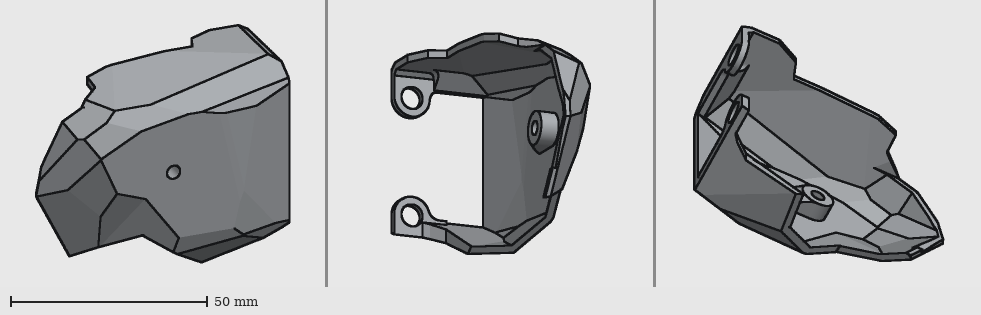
import cadquery as cq
import math

WIDTH = 32.0
LENGTH = 67.3
TOP_Z = 53.9
WALL = 2.0
INNER_X = WIDTH - WALL
REACH = 201.9
SHELL_CENTER = cq.Vector(16.8, -26.9, 30.3)

FLANGE = 1.95
EAR_X = 4.9
EAR_RADIUS = 4.9
EAR_HOLE_RADIUS = 2.9
EAR_FILLET = 3.0
UPPER_EAR_Z = 45.2
LOWER_EAR_Z = 14.3
OPENING_TOP = 47.85
OPENING_BOTTOM = 13.7
LOWER_EAR_BLOCK_X = 7.75
LOWER_FLANGE_X = 14.5

GUSSET_X = 11.0
GUSSET_DEPTH = 6.6
GUSSET_TOP = 52.0
GUSSET_FILLET = 1.9
CEILING_Z = TOP_Z - WALL
FLANGE_BEVEL = 1.3

BOSS_Y = -34.0
BOSS_Z = 31.5
BOSS_RADIUS = 4.4
BOSS_HOLE_RADIUS = 1.8
BOSS_HEIGHT = 4.8
BOSS_FLARE_ANGLE = 45

TIP_X = 19.5
FLOOR_EDGE_X = 12.1
FLOOR_FRONT_Y = -21.3
NOSE_BOTTOM = 6.85
NOSE_Y = -53.85

BROW_FRONT = (26.7, -47.85, 48.8)
BROW_SIDE = (WIDTH, -42.95, 44.4)
BROW_CORNER = (28.35, -50.55, 46.5)
CHEEK_CORNER = (28.3, -57.15, 43.15)
NOSE_BRIDGE = (19.5, -59.5, 44.9)
NOSE_SIDE = (26.6, -61.0, 29.0)
NOSE_TIP = (20.85, -LENGTH, 25.9)
NOSE_CREST = (20.85, -66.4, 30.6)
NOSE_HEEL = (19.4, -57.5, 7.0)
JAW_FRONT = (25.0, -52.1, 10.8)
JAW_REAR = (WIDTH, -49.6, 28.2)
CREASE_TOP = (WIDTH, -41.7, 25.4)

OUTER_FACETS = {
    "roof": [(0, 0, TOP_Z), (6.7, 0, TOP_Z), (0, -6.7, TOP_Z)],
    "side": [(WIDTH, 0, 0), (WIDTH, -6.7, 0), (WIDTH, 0, 6.7)],
    "back chamfer": [(0, 0, 52.45), (6.7, 0, 52.45), (0, -2.6, TOP_Z)],
    "roof front": [(7.6, -26.25, TOP_Z), (19.65, -2.6, TOP_Z), (26.65, -47.9, 48.8)],
    "brow": [(7.6, -40.4, 52.7), (26.65, -47.9, 48.8), (9.4, -48.25, 51.15)],
    "shoulder": [(19.65, -2.6, TOP_Z), (27.8, -38.45, 49.4), (WIDTH, -29.95, 47.0)],
    "shoulder front": [(WIDTH, -29.95, 47.0), BROW_SIDE, BROW_CORNER],
    "cheek upper": [BROW_SIDE, BROW_CORNER, CHEEK_CORNER],
    "forehead": [BROW_FRONT, CHEEK_CORNER, NOSE_BRIDGE],
    "nose upper": [NOSE_BRIDGE, (26.9, -58.5, 42.9), NOSE_CREST],
    "nose side": [CHEEK_CORNER, NOSE_SIDE, NOSE_TIP],
    "nose lower": [NOSE_TIP, NOSE_SIDE, JAW_FRONT],
    "cheek lower": [(WIDTH, -54.1, 38.45), JAW_REAR, NOSE_SIDE],
    "rear side": [(27.45, 0, 0), (27.45, 0, 6.7), (WIDTH, -14.8, 0)],
    "rear blend": [(30.7, -10.65, 44.95), (31.9, -14.8, 23.55), (31.85, -19.05, 44.8)],
    "rear strip": [(WIDTH, -21.15, 45.15), (WIDTH, -15.7, 20.6), (31.85, -19.05, 44.8)],
}
INNER_FACETS = {
    "rear shoulder": [(INNER_X, -23.3, 45.7), (INNER_X, -21.15, 45.15), (28.6, -10.65, 44.95)],
    "rear lower": [(INNER_X, -15.7, 20.6), (INNER_X, -17.8, 11.6), (26.85, -4.85, 11.4)],
    "rear corner": [(26.85, -4.85, 11.4), (27.05, -9.35, 9.1), (29.1, -14.2, 10.9)],
    "floor bevel": [(INNER_X, -17.8, 11.6), (INNER_X, -30.15, 10.6), (25.3, -14.2, 6.45)],
    "floor corner": [(12.1, -23.3, 1.5), (25.3, -14.15, 6.45), (22.5, -24.6, 2.55)],
}
FLOOR_OUTER = [(0, 0, 9.55), (6.7, 0, 9.55), (0, FLOOR_FRONT_Y, 0)]
FLOOR_INNER = [(0, 0, OPENING_BOTTOM), (6.7, 0, OPENING_BOTTOM), (0, -23.3, 1.6)]
LOWER_FLAT = [(WIDTH, 0, 12.9), (WIDTH, -6.7, 12.9), (30.4, 0, 8.1)]
CREASE_LOWER = [CREASE_TOP, JAW_FRONT, (WIDTH, -30.55, 10.2)]
CREASE_UPPER = [CREASE_TOP, JAW_REAR, (28.7, -53.2, 20.7)]
NOTCH_PEAK_Y = -41.2
NOTCH_PEAK_Z = 13.85
JAW_INNER = (22.6, -50.95, 10.1)
NOTCH_FACETS = [
    [JAW_FRONT, JAW_INNER, (29.15, NOTCH_PEAK_Y, 14.1)],
    [JAW_FRONT, JAW_INNER, NOSE_HEEL],
]
NOSE_BLUNT = (19.7, -66.9, 25.9)
TIP_FACETS = [
    [NOSE_TIP, NOSE_CREST, NOSE_BLUNT],
    [NOSE_TIP, NOSE_HEEL, NOSE_BLUNT],
]


def beyond(points, shift=0.0):
    """Block filling the space beyond the facet, moved outward by shift."""
    a, b, c = [cq.Vector(*p) for p in points]
    normal = (b - a).cross(c - a).normalized()
    if normal.dot(SHELL_CENTER - a) > 0:
        normal = normal * -1
    plane = cq.Plane(origin=(a + normal * shift).toTuple(), normal=normal.toTuple())
    return cq.Workplane(plane).rect(2 * REACH, 2 * REACH).extrude(REACH)


def faceted_body(start, floor, outer_shift):
    """Trim a block with every facet; outer_shift is 0 outside and -WALL inside."""
    body = start.cut(beyond(floor))
    for points in OUTER_FACETS.values():
        body = body.cut(beyond(points, outer_shift))
    for points in INNER_FACETS.values():
        body = body.cut(beyond(points, outer_shift + WALL))
    crease = beyond(CREASE_LOWER, outer_shift).intersect(beyond(CREASE_UPPER, outer_shift))
    return body.cut(crease)


def block(x0, x1, y0, y1, z0, z1):
    """Box between two opposite corners."""
    return cq.Workplane("XY", origin=(x0, y0, z0)).box(x1 - x0, y1 - y0, z1 - z0, centered=False)


def ear(z, edge_z, inward):
    """Round ear on the flange with a fillet where it meets the flange edge."""
    far = edge_z - inward * 2 * EAR_RADIUS
    center_distance = EAR_RADIUS + EAR_FILLET
    fillet_z = edge_z + inward * EAR_FILLET
    fillet_x = EAR_X + math.sqrt(center_distance ** 2 - (fillet_z - z) ** 2)
    tangent_x = EAR_X + (fillet_x - EAR_X) * EAR_RADIUS / center_distance
    tangent_z = z + (fillet_z - z) * EAR_RADIUS / center_distance
    return (
        cq.Workplane("XZ").moveTo(0, far).lineTo(0, z)
        .threePointArc((EAR_X, z + inward * EAR_RADIUS), (tangent_x, tangent_z))
        .radiusArc((fillet_x, edge_z), -inward * EAR_FILLET)
        .lineTo(fillet_x, far).close().extrude(FLANGE)
    )


outer = faceted_body(block(0, REACH, -REACH, 0, -REACH, REACH), FLOOR_OUTER, 0.0)
outer = outer.cut(beyond(LOWER_FLAT))
cavity = faceted_body(block(-REACH, REACH, -REACH, REACH, -REACH, REACH), FLOOR_INNER, -WALL)
shell = outer.cut(cavity)

opening_floor = cq.Workplane("XY", origin=(0, 0, OPENING_BOTTOM))

roof_edge = [(0, -10.65), (3.0, -16.8), (7.6, -18.45), (7.6, -42.5), (9.2, -48.25),
             (14.4, -48.25), (TIP_X, -54.3), (TIP_X, -LENGTH), (0, -LENGTH)]
shell = shell.cut(opening_floor.polyline(roof_edge).close().extrude(REACH))

floor_edge = [(0, -FLANGE), (LOWER_EAR_BLOCK_X, -FLANGE), (9.35, -3.3), (FLOOR_EDGE_X, -7.15),
              (FLOOR_EDGE_X, -LENGTH), (0, -LENGTH)]
shell = shell.cut(opening_floor.polyline(floor_edge).close().extrude(-REACH))

rear_notch = [(FLOOR_FRONT_Y, 0), (NOTCH_PEAK_Y, NOTCH_PEAK_Z), (NOTCH_PEAK_Y, -WIDTH), (FLOOR_FRONT_Y, -WIDTH)]
shell = shell.cut(cq.Workplane("YZ").polyline(rear_notch).close().extrude(REACH))
front_notch = block(0, WIDTH, -LENGTH, NOTCH_PEAK_Y, -REACH, REACH)
for points in NOTCH_FACETS:
    front_notch = front_notch.intersect(beyond(points))
shell = shell.cut(front_notch)

shell = shell.cut(block(0, TIP_X, -LENGTH, 0, OPENING_BOTTOM, OPENING_TOP))

nose_end = [(TIP_X, 34.65), (19.7, 30.95), (19.7, 25.9), (18.3, NOSE_BOTTOM), (WIDTH, NOSE_BOTTOM), (WIDTH, 0),
            (0, 0), (0, 34.65)]
shell = shell.cut(cq.Workplane("XZ", origin=(0, NOSE_Y, 0)).polyline(nose_end).close().extrude(LENGTH))
for points in TIP_FACETS:
    shell = shell.cut(beyond(points))

upper_flange = block(0, WIDTH, -FLANGE, 0, OPENING_TOP, TOP_Z).union(ear(UPPER_EAR_Z, OPENING_TOP, -1))
lower_flange = block(0, LOWER_FLANGE_X, -FLANGE, 0, 0, OPENING_BOTTOM)
lower_flange = lower_flange.union(ear(LOWER_EAR_Z, OPENING_BOTTOM, 1))

gusset_profile = [(0, OPENING_TOP), (-FLANGE, OPENING_TOP), (-GUSSET_DEPTH, GUSSET_TOP),
                  (-GUSSET_DEPTH, TOP_Z), (0, TOP_Z)]
gusset = cq.Workplane("YZ").polyline(gusset_profile).close().extrude(WIDTH)
gusset_end = (
    cq.Workplane("XZ").moveTo(GUSSET_X, 0).lineTo(GUSSET_X, CEILING_Z - GUSSET_FILLET)
    .radiusArc((GUSSET_X - GUSSET_FILLET, CEILING_Z), -GUSSET_FILLET)
    .lineTo(GUSSET_X - GUSSET_FILLET, TOP_Z).lineTo(WIDTH, TOP_Z).lineTo(WIDTH, 0).close().extrude(LENGTH)
)
gusset = gusset.intersect(gusset_end)

bevel_profile = [(-FLANGE, CEILING_Z - FLANGE_BEVEL), (-FLANGE - FLANGE_BEVEL, CEILING_Z), (-FLANGE, CEILING_Z)]
flange_bevel = cq.Workplane("YZ").polyline(bevel_profile).close().extrude(GUSSET_X)

additions = upper_flange.union(lower_flange).union(gusset).union(flange_bevel)
shell = shell.union(additions.intersect(outer))
ear_holes = (
    cq.Workplane("XZ").pushPoints([(EAR_X, UPPER_EAR_Z), (EAR_X, LOWER_EAR_Z)])
    .circle(EAR_HOLE_RADIUS).extrude(FLANGE)
)
shell = shell.cut(ear_holes)

boss_start = INNER_X - BOSS_HEIGHT
boss_plane = cq.Workplane("YZ", origin=(boss_start, BOSS_Y, BOSS_Z))
boss = boss_plane.circle(BOSS_RADIUS).extrude(BOSS_HEIGHT + WALL / 2)
cone = boss_plane.circle(BOSS_RADIUS).extrude(BOSS_HEIGHT, taper=-BOSS_FLARE_ANGLE)
flare = cone.intersect(block(0, WIDTH, BOSS_Y, 0, BOSS_Z - BOSS_RADIUS, BOSS_Z + BOSS_RADIUS))
boss_hole = boss_plane.circle(BOSS_HOLE_RADIUS).extrude(WIDTH)
result = shell.union(boss).union(flare).cut(boss_hole)